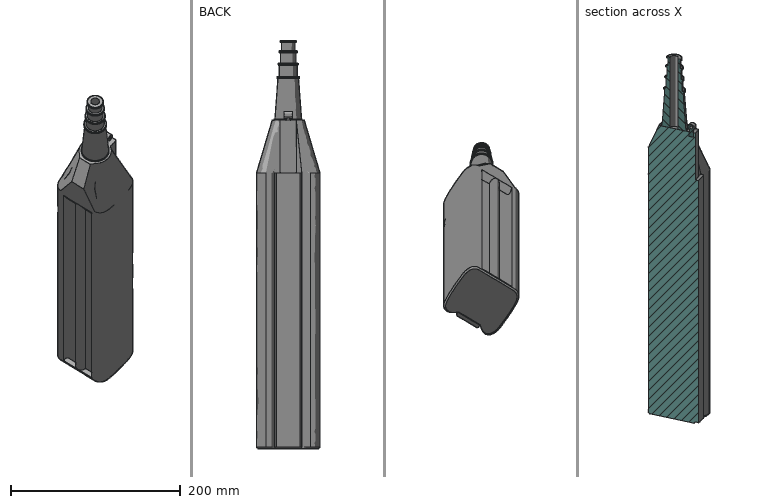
import cadquery as cq
import math

total_height = 481.0
body_width = 74.97
body_depth = 67.02
body_height = 324.7
shoulder_z = 387.0
nose_top_radius = 19.0
base_chamfer = 2.0

half_width = body_width / 2
front_y = -body_depth / 2
back_y = body_depth / 2

front_flat_half = 25.3
front_round_mid = (28.2, -33.0)
front_corner = (31.0, -31.6)
side_x = 36.2
side_y = 22.5
side_bow_x = 37.25
side_bow_y = 11.5
lobe_x = 26.0
valley_half = 16.0
valley_y = 27.5
lobe_flank = (20.5, 31.3)

rail_half = 15.5
rail_y = 32.0
rail_chamfer = 1.5
rail_root = 1.0

groove_half = 21.0
groove_fillet = 3.0
groove_bottom_z = 4.5
groove_top_z = 319.0
groove_ramp = 12.0
rib_radius = 6.5
groove_floor_y = front_y + rib_radius

facet_break_z = 354.5
facet_lean = 0.15
facet_sections = [
    (body_height, front_y, front_flat_half, -31.0, 31.0),
    (facet_break_z, front_y + facet_lean, 9.0, -25.5, 19.0),
    (shoulder_z, -19.5, 8.0, -13.0, 13.5),
]

block_half = 10.0
block_back_y = 28.0
block_front_y = nose_top_radius / 2
block_fillet = 2.0

eye_hole = 3.0
eye_diameter = 8.5
eye_length = 10.0
eye_shank = 5.0
eye_y = 22.3
eye_z = 393.0
eye_socket_depth = 6.0

boot_bore = 10.0
boot_base_radius = 15.8
boot_foot_radius = 16.5
boot_foot_height = 1.5
ring_height = 2.8
ring_chamfer = 0.8
boot_rings = [
    (total_height, 9.75, 8.0),
    (468.8, 11.0, 9.3),
    (454.3, 12.0, 10.7),
    (438.6, 13.5, 12.3),
]


def mirrored(point):
    return (-point[0], point[1])


def body_outline(z, inset=0.0):
    """Closed body cross-section: flat front, bowed sides and two back lobes.

    The inset shrinks the section about the axis, by that much at the sides.
    """
    shrink = 1 - inset / half_width

    def placed(x, y):
        return (x * shrink, y * shrink)

    front_edge = placed(front_flat_half, front_y)
    round_mid = placed(*front_round_mid)
    corner = placed(*front_corner)
    flank = placed(*lobe_flank)
    valley_edge = placed(valley_half, valley_y)
    lobe_crest = placed(lobe_x, back_y)
    side_crest = placed(half_width, 0)
    side_front = placed(side_x, -side_y)
    bow_front = placed(side_bow_x, -side_bow_y)
    bow_back = placed(side_bow_x, side_bow_y)
    side_back = placed(side_x, side_y)
    return (
        cq.Workplane("XY", origin=(0, 0, z))
        .moveTo(*mirrored(front_edge))
        .lineTo(*front_edge)
        .threePointArc(round_mid, corner)
        .spline(
            [side_front, bow_front, side_crest],
            tangents=[(1, 0.7), (0, 1)],
            includeCurrent=True,
        )
        .spline(
            [bow_back, side_back, lobe_crest],
            tangents=[(0, 1), (-1, 0)],
            includeCurrent=True,
        )
        .threePointArc(flank, valley_edge)
        .lineTo(*mirrored(valley_edge))
        .threePointArc(mirrored(flank), mirrored(lobe_crest))
        .spline(
            [mirrored(side_back), mirrored(bow_back), mirrored(side_crest)],
            tangents=[(-1, 0), (0, -1)],
            includeCurrent=True,
        )
        .spline(
            [mirrored(bow_front), mirrored(side_front), mirrored(corner)],
            tangents=[(0, -1), (1, -0.7)],
            includeCurrent=True,
        )
        .threePointArc(mirrored(round_mid), mirrored(front_edge))
        .close()
    )


def nose_top_outline():
    """Circle split into arcs that pair with the edges of the body outline."""
    start_angle = -120
    right_angles = [-60, -45, 0, 45, 60]
    angles = right_angles + [180 - angle for angle in reversed(right_angles)]

    def on_circle(angle):
        turn = math.radians(angle)
        return (nose_top_radius * math.cos(turn), nose_top_radius * math.sin(turn))

    outline = cq.Workplane("XY", origin=(0, 0, shoulder_z)).moveTo(*on_circle(start_angle))
    previous = start_angle
    for angle in angles:
        outline = outline.threePointArc(on_circle((previous + angle) / 2), on_circle(angle))
        previous = angle
    return outline.close()


def loft(outlines):
    wires = [outline.val() for outline in outlines]
    return cq.Workplane(cq.Solid.makeLoft(wires, True))


def make_nose_facet():
    outlines = []
    for z, edge_y, edge_half, side_y, side_half in facet_sections:
        outline = cq.Workplane("XY", origin=(0, 0, z)).polyline(
            [
                (-edge_half, edge_y),
                (edge_half, edge_y),
                (side_half, side_y),
                (side_half, 0),
                (-side_half, 0),
                (-side_half, side_y),
            ]
        ).close()
        outlines.append(outline)
    return loft(outlines)


def make_groove_cutter():
    trough = (
        cq.Workplane("XY")
        .box(
            2 * groove_half,
            rib_radius,
            groove_top_z - groove_bottom_z,
            centered=(True, False, False),
        )
        .translate((0, front_y, groove_bottom_z))
        .edges("|Z and >Y")
        .fillet(groove_fillet)
    )
    ramped_end = (
        cq.Workplane("YZ")
        .polyline(
            [
                (front_y, 0),
                (groove_floor_y, 0),
                (groove_floor_y, groove_top_z - groove_ramp),
                (front_y, groove_top_z),
            ]
        )
        .close()
        .extrude(groove_half, both=True)
    )
    rib = (
        cq.Workplane("XY")
        .center(0, groove_floor_y)
        .circle(rib_radius)
        .extrude(groove_top_z)
    )
    return trough.intersect(ramped_end).cut(rib)


def make_back_rail():
    rail_root_y = valley_y - rail_root
    return (
        cq.Workplane("XY")
        .box(2 * rail_half, rail_y - rail_root_y, body_height - base_chamfer, centered=(True, False, False))
        .translate((0, rail_root_y, base_chamfer))
        .edges("|Z and >Y")
        .chamfer(rail_chamfer)
    )


def make_hanger_block():
    return (
        cq.Workplane("XY", origin=(0, block_front_y, body_height))
        .box(
            2 * block_half,
            block_back_y - block_front_y,
            shoulder_z - body_height,
            centered=(True, False, False),
        )
        .edges("|Z and >Y")
        .fillet(block_fillet)
    )


def make_eye_shank():
    bottom_z = shoulder_z - eye_socket_depth
    return (
        cq.Workplane("XY", origin=(0, eye_y, bottom_z))
        .circle(eye_shank / 2)
        .extrude(eye_z - bottom_z)
    )


def make_housing():
    body = body_outline(base_chamfer).extrude(body_height - base_chamfer)
    base = loft([body_outline(0, base_chamfer), body_outline(base_chamfer)])
    nose = loft([body_outline(body_height), nose_top_outline()])
    housing = body.union(base).union(nose).union(make_nose_facet())
    housing = housing.union(make_back_rail()).union(make_hanger_block())
    return housing.cut(make_groove_cutter()).cut(make_eye_shank())


def make_eye():
    """Cross barrel on a shank, with its hole along X."""
    axis = cq.Workplane("YZ", origin=(0, eye_y, eye_z))
    barrel = axis.circle(eye_diameter / 2).extrude(eye_length / 2, both=True)
    hole = axis.circle(eye_hole / 2).extrude(eye_length / 2, both=True)
    return make_eye_shank().union(barrel).cut(hole)


def make_boot():
    profile = [(boot_bore / 2, shoulder_z), (boot_bore / 2, total_height)]
    upper_stem = None
    for top_z, ring_radius, stem_radius in boot_rings:
        bottom_z = top_z - ring_height
        if upper_stem:
            profile.append((upper_stem, top_z))
        profile += [
            (ring_radius - ring_chamfer, top_z),
            (ring_radius, top_z - ring_chamfer),
            (ring_radius, bottom_z + ring_chamfer),
            (ring_radius - ring_chamfer, bottom_z),
            (stem_radius, bottom_z),
        ]
        upper_stem = stem_radius
    foot_top = shoulder_z + boot_foot_height
    profile += [
        (boot_base_radius, foot_top),
        (boot_foot_radius, foot_top),
        (boot_foot_radius, shoulder_z),
    ]
    return cq.Workplane("XZ").polyline(profile).close().revolve(360, (0, 0), (0, 1))


housing = make_housing()
boot = make_boot()
eye = make_eye()

result = cq.Compound.makeCompound([housing.val(), boot.val(), eye.val()])